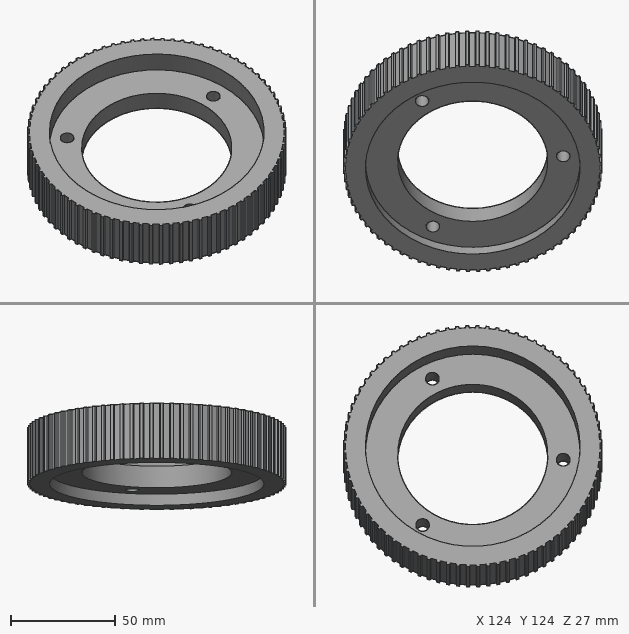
import cadquery as cq
import math

outer_diameter = 124.0
width = 27.0
bore_diameter = 72.0

recess_diameter = 103.0
top_recess_depth = 11.0
web_thickness = 10.5

hole_count = 3
hole_diameter = 6.5
hole_circle_diameter = 87.0
first_hole_angle = 90
full_turn = 360

tooth_count = 80
tooth_height = 1.0
tooth_tip_width = 1.4
tooth_root_width = 2.0

tip_radius = outer_diameter / 2
root_radius = tip_radius - tooth_height
bottom_recess_depth = width - top_recess_depth - web_thickness


def point_on_circle(radius, angle):
    """Point at the given radius and angle (radians) about the ring axis."""
    return (radius * math.cos(angle), radius * math.sin(angle))


def toothed_blank():
    """Solid disc with straight-flanked teeth, arcs on the tips and in the gaps."""
    pitch_angle = 2 * math.pi / tooth_count
    tip_half_angle = tooth_tip_width / 2 / tip_radius
    root_half_angle = tooth_root_width / 2 / root_radius

    outline = cq.Workplane("XY").moveTo(*point_on_circle(root_radius, -root_half_angle))
    for tooth in range(tooth_count):
        middle = tooth * pitch_angle
        next_root = middle + pitch_angle - root_half_angle
        outline = outline.lineTo(*point_on_circle(tip_radius, middle - tip_half_angle))
        outline = outline.threePointArc(
            point_on_circle(tip_radius, middle),
            point_on_circle(tip_radius, middle + tip_half_angle),
        )
        outline = outline.lineTo(*point_on_circle(root_radius, middle + root_half_angle))
        outline = outline.threePointArc(
            point_on_circle(root_radius, middle + pitch_angle / 2),
            point_on_circle(root_radius, next_root),
        )
    return outline.close().extrude(width)


def disc(diameter, bottom, height):
    """Cylinder on the ring axis, used as a cutter."""
    return cq.Workplane("XY").workplane(offset=bottom).circle(diameter / 2).extrude(height)


def mounting_holes():
    """Equally spaced through holes, the first one on the +Y side."""
    return (
        cq.Workplane("XY")
        .polarArray(hole_circle_diameter / 2, first_hole_angle, full_turn, hole_count)
        .circle(hole_diameter / 2)
        .extrude(width)
    )


result = (
    toothed_blank()
    .cut(disc(bore_diameter, 0, width))
    .cut(disc(recess_diameter, width - top_recess_depth, top_recess_depth))
    .cut(disc(recess_diameter, 0, bottom_recess_depth))
    .cut(mounting_holes())
)